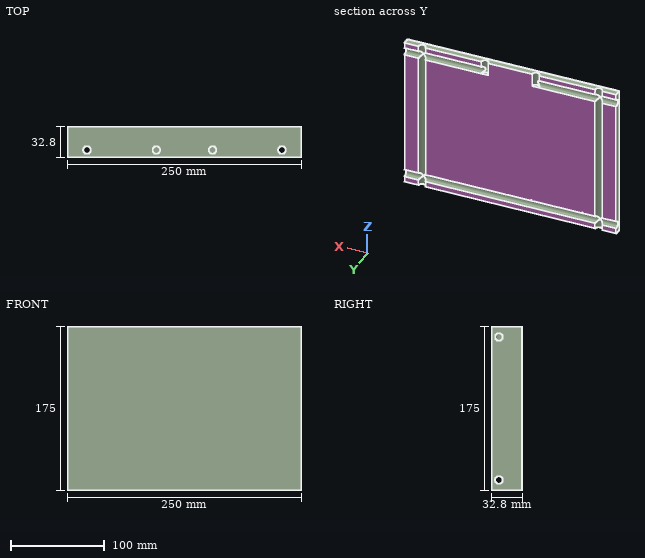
import cadquery as cq

LENGTH = 250.0
THICKNESS = 32.8
HEIGHT = 175.0

CHANNEL_DIAMETER = 8.0
CHANNEL_RADIUS = CHANNEL_DIAMETER / 2
FRONT_INSET = 7.8
END_INSET = 20.8
EDGE_INSET = 11.0
PORT_SPACING = 60.0

CHANNEL_Y = -THICKNESS / 2 + FRONT_INSET
OUTER_X = LENGTH / 2 - END_INSET
PORT_X = PORT_SPACING / 2
CHANNEL_Z = HEIGHT / 2 - EDGE_INSET
PORT_DEPTH = EDGE_INSET + CHANNEL_RADIUS


def vertical_channel(x, depth):
    """Flat-bottomed hole drilled down from the top face."""
    top_plane = cq.Workplane("XY", origin=(x, CHANNEL_Y, HEIGHT / 2))
    return top_plane.circle(CHANNEL_RADIUS).extrude(-depth)


def horizontal_channel(side, z, depth):
    """Hole drilled inward from the end face on the given side (-1 or +1)."""
    end_plane = cq.Workplane("YZ", origin=(side * LENGTH / 2, CHANNEL_Y, z))
    return end_plane.circle(CHANNEL_RADIUS).extrude(-side * depth)


result = cq.Workplane("XY").box(LENGTH, THICKNESS, HEIGHT)

result = result.cut(horizontal_channel(-1, -CHANNEL_Z, LENGTH))

for side in (-1, 1):
    result = result.cut(vertical_channel(side * OUTER_X, HEIGHT))
    result = result.cut(vertical_channel(side * PORT_X, PORT_DEPTH))
    result = result.cut(horizontal_channel(side, CHANNEL_Z, LENGTH / 2 - PORT_X))